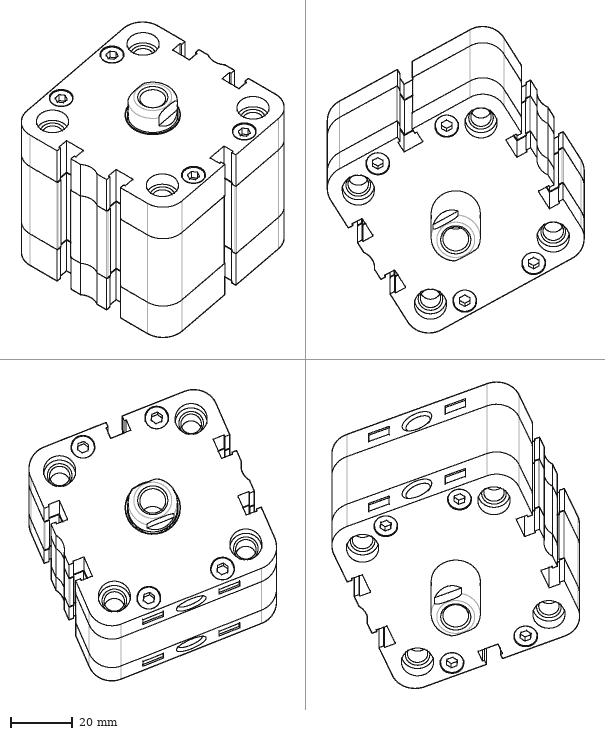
import cadquery as cq
import math


width = 65.5
half_width = width / 2
corner_radius = 8.0
rod_length = 91.0
rod_projection = 8.0
cap_height = 14.5
barrel_height = 30.9
barrel_top = rod_length - rod_projection - cap_height
barrel_bottom = barrel_top - barrel_height

slot_spacing = 20.9
barrel_throat_width = 5.4
side_throat_width = 5.6
barrel_slot_width = 6.6
barrel_slot_depth = 5.4
lip_depth = 1.7
lip_edge_radius = 0.3
cap_slot_margin = 0.23

groove_half_width = 3.5
groove_depth = 1.1

mount_hole_offset = 23.2
mount_counterbore_diameter = 10.5
mount_counterbore_depth = 4.7
mount_chamfer_diameter = 8.0
mount_hole_diameter = 6.6
mount_hole_depth = 12.7

screw_x = 27.9
screw_y = 13.0
screw_recess_diameter = 7.7
screw_recess_depth = 1.4
screw_head_diameter = 7.5
screw_head_sink = 0.4
socket_flats = 3.5
socket_depth = 2.7

port_depth_from_face = 8.0
port_mouth_diameter = 10.5
port_diameter = 8.55
port_depth = 10.9
air_hole_diameter = 3.5
air_hole_offset = 1.9
air_hole_end_depth = 18.2

label_offset = 13.5
label_width = 7.3
label_height = 5.1
label_recess_depth = 0.55
label_depth_from_face = 7.3

rod_diameter = 16.0
rod_end_radius = 1.8
flats_width = 12.9
flats_length = 5.4
rod_bore_diameter = 8.4
rod_bore_mouth_diameter = 9.8
rod_bore_depth = 20.0

wiper_diameter = 18.0
wiper_height = 1.8
wiper_rim_diameter = 17.7
wiper_rim_depth = 0.3
wiper_lip_diameter = 16.6
wiper_lip_depth = 0.9


def cone_mouth(diameter, mouth_diameter):
    """45-degree countersink with its mouth at Z = 0, opening upwards."""
    depth = (mouth_diameter - diameter) / 2
    cone = cq.Solid.makeCone(diameter / 2, mouth_diameter / 2, depth)
    return cq.Workplane(cone).translate((0, 0, -depth))


def blind_hole(diameter, depth):
    """Cylinder that goes down from Z = 0."""
    return cq.Workplane("XY").circle(diameter / 2).extrude(-depth)


def rounded_block(height):
    return cq.Workplane("XY").rect(width, width).extrude(height).edges("|Z").fillet(corner_radius)


def slot_cutter(height, margin, throat_width):
    """Lipped slot that opens to the +Y side at X = 0."""
    floor_y = half_width - barrel_slot_depth - margin
    slot_top_y = half_width - lip_depth
    slot_width = barrel_slot_width + 2 * margin
    slot = cq.Workplane("XY").rect(slot_width, slot_top_y - floor_y).extrude(height)
    throat = cq.Workplane("XY").rect(throat_width, half_width - floor_y).extrude(height)
    slot = slot.translate((0, (slot_top_y + floor_y) / 2, 0))
    return slot.union(throat.translate((0, (half_width + floor_y) / 2, 0)))


def groove_cutter(height):
    """Shallow groove of arc section in the +Y side."""
    return (
        cq.Workplane("XY")
        .moveTo(-groove_half_width, half_width)
        .threePointArc((0, half_width - groove_depth), (groove_half_width, half_width))
        .close()
        .extrude(height)
    )


def profile_block(height, margin):
    """Rounded block with slots on the +Y, -Y and +X sides and a groove on the Y sides."""
    slot = slot_cutter(height, margin, barrel_throat_width + 2 * margin)
    side_slot = slot_cutter(height, margin, side_throat_width)
    block = rounded_block(height).cut(side_slot.rotate((0, 0, 0), (0, 0, 1), -90))
    for turn in (0, 180):
        for slot_x in (-slot_spacing / 2, slot_spacing / 2):
            block = block.cut(slot.translate((slot_x, 0, 0)).rotate((0, 0, 0), (0, 0, 1), turn))
        block = block.cut(groove_cutter(height).rotate((0, 0, 0), (0, 0, 1), turn))
    return block


def mirrored_points(x, y):
    return [(sx * x, sy * y) for sx in (-1, 1) for sy in (-1, 1)]


def mount_hole_cutter():
    counterbore = blind_hole(mount_counterbore_diameter, mount_counterbore_depth)
    mouth = cone_mouth(mount_hole_diameter, mount_chamfer_diameter)
    mouth = mouth.translate((0, 0, -mount_counterbore_depth))
    return counterbore.union(mouth).union(blind_hole(mount_hole_diameter, mount_hole_depth))


def screw_cutter():
    """Ring gap around a sunk screw head, with the hexagon socket of the head."""
    recess = blind_hole(screw_recess_diameter, screw_recess_depth)
    head = blind_hole(screw_head_diameter, screw_recess_depth - screw_head_sink)
    socket_corner_diameter = socket_flats / math.cos(math.pi / 6)
    socket = cq.Workplane("XY").polygon(6, socket_corner_diameter).extrude(-socket_depth)
    socket = socket.rotate((0, 0, 0), (0, 0, 1), 30)
    gap = recess.cut(head.translate((0, 0, -screw_head_sink)))
    return gap.union(socket.translate((0, 0, -screw_head_sink)))


def port_cutter():
    """Air port for the -X side of a cap whose outer face is at the top."""
    port = blind_hole(port_diameter, port_depth).union(cone_mouth(port_diameter, port_mouth_diameter))
    air_hole = blind_hole(air_hole_diameter, air_hole_end_depth).translate((-air_hole_offset, 0, 0))
    port = port.union(air_hole).rotate((0, 0, 0), (0, 1, 0), -90)
    return port.translate((-half_width, 0, cap_height - port_depth_from_face))


def label_cutter():
    """Pair of label recesses for the -X side of a cap."""
    recesses = (
        cq.Workplane("YZ")
        .pushPoints([(-label_offset, 0), (label_offset, 0)])
        .rect(label_width, label_height)
        .extrude(label_recess_depth)
    )
    return recesses.translate((-half_width, 0, cap_height - label_depth_from_face))


def make_cap():
    """End cap from Z = 0 to the outer face at Z = cap_height."""
    cap = profile_block(cap_height, cap_slot_margin).cut(port_cutter()).cut(label_cutter())
    for x, y in mirrored_points(mount_hole_offset, mount_hole_offset):
        cap = cap.cut(mount_hole_cutter().translate((x, y, cap_height)))
    for x, y in mirrored_points(screw_x, screw_y):
        cap = cap.cut(screw_cutter().translate((x, y, cap_height)))
    rod_hole = blind_hole(rod_diameter, cap_height)
    return cap.cut(rod_hole.translate((0, 0, cap_height)))


def make_barrel():
    throat_edge = barrel_throat_width / 2
    lip_edges = []
    for slot_x in (-slot_spacing / 2, slot_spacing / 2):
        for edge_x in (slot_x - throat_edge, slot_x + throat_edge):
            lip_edges += [(edge_x, -half_width), (edge_x, half_width)]
    lip_edges += [(half_width, -side_throat_width / 2), (half_width, side_throat_width / 2)]
    barrel = profile_block(barrel_height, 0)
    for x, y in lip_edges:
        lip_edge = cq.selectors.NearestToPointSelector((x, y, barrel_height / 2))
        barrel = barrel.edges(lip_edge).fillet(lip_edge_radius)
    rod_hole = blind_hole(rod_diameter, barrel_height)
    return barrel.cut(rod_hole.translate((0, 0, barrel_height)))


def flat_cutter():
    """Wrench flat with a 45-degree run-out, for the +X side of a rod end at Z = 0."""
    flat_x = flats_width / 2
    run_out = rod_diameter / 2 - flat_x
    return (
        cq.Workplane("XZ")
        .polyline([
            (flat_x, 0),
            (flat_x, -flats_length),
            (flat_x + run_out, -flats_length - run_out),
            (flat_x + run_out, 0),
        ])
        .close()
        .extrude(rod_diameter / 2, both=True)
    )


def make_rod():
    """Rod with the same threaded bore and wrench flats at both ends."""
    rod = cq.Workplane("XY").circle(rod_diameter / 2).extrude(rod_length).edges().fillet(rod_end_radius)
    bore = blind_hole(rod_bore_diameter, rod_bore_depth)
    bore = bore.union(cone_mouth(rod_bore_diameter, rod_bore_mouth_diameter))
    flat = flat_cutter()
    end_cutter = bore.union(flat).union(flat.mirror("YZ"))
    rod = rod.cut(end_cutter.translate((0, 0, rod_length)))
    return rod.cut(end_cutter.mirror("XY"))


def make_wiper():
    """Ring that ends at Z = 0, stepped back from its seat and from the rod at the top."""
    bore_radius = rod_diameter / 2
    outer_radius = wiper_diameter / 2
    lip_radius = wiper_lip_diameter / 2
    rim_radius = wiper_rim_diameter / 2
    return (
        cq.Workplane("XZ")
        .polyline([
            (bore_radius, -wiper_height),
            (outer_radius, -wiper_height),
            (outer_radius, -wiper_rim_depth),
            (rim_radius, -wiper_rim_depth),
            (rim_radius, 0),
            (lip_radius, 0),
            (lip_radius, -wiper_lip_depth),
            (bore_radius, -wiper_lip_depth),
        ])
        .close()
        .revolve(360, (0, 0, 0), (0, 1, 0))
    )


cap_face = barrel_top + cap_height
cap = make_cap()
lower_cap = cap.rotate((0, 0, 0), (1, 0, 0), 180).translate((0, 0, barrel_bottom))
wiper_seat = blind_hole(wiper_diameter, wiper_height).translate((0, 0, cap_face))
upper_cap = cap.translate((0, 0, barrel_top)).cut(wiper_seat)
barrel = make_barrel().translate((0, 0, barrel_bottom))
rod = make_rod()
wiper = make_wiper().translate((0, 0, cap_face))

result = cq.Compound.makeCompound([
    upper_cap.val(),
    lower_cap.val(),
    barrel.val(),
    rod.val(),
    wiper.val(),
])